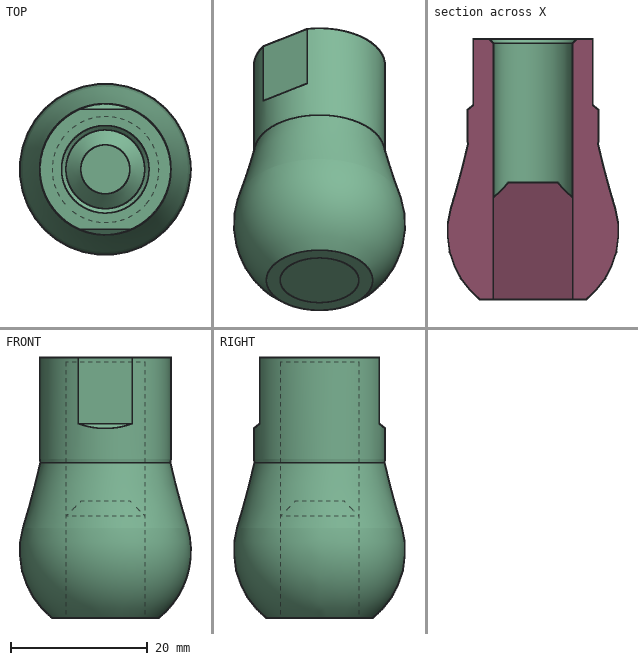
import cadquery as cq
import math

total_height = 38.1
neck_radius = 9.6
collar_radius = 9.52
skirt_middle_radius = 10.7
bulb_radius = 12.55
base_radius = 7.77

bulb_top = 13.2
skirt_top = 22.75
neck_bottom = 23.25

flat_half_width = 8.75
flat_bottom = 28.42
flat_slope = math.radians(40)

bore_radius = 5.75
bore_mouth_radius = 6.4

pin_tip_radius = 3.6
pin_height = 17.15

bulb_center = math.sqrt(bulb_radius**2 - base_radius**2)


def point_on_bulb(height):
    """Radius and height of a point on the spherical bulb."""
    return math.sqrt(bulb_radius**2 - (height - bulb_center)**2), height


def make_pin():
    """Pin that fills the lower bore, with a flat-ended conical tip."""
    tip_chamfer = bore_radius - pin_tip_radius
    return cq.Workplane("XY").circle(bore_radius).extrude(pin_height).faces(">Z").chamfer(tip_chamfer)


def make_outer_form():
    """Neck, slightly tapered collar, concave skirt and spherical bulb, turned about Z."""
    bulb_edge = point_on_bulb(bulb_top)
    skirt_middle = (skirt_middle_radius, (bulb_top + skirt_top) / 2)
    return (
        cq.Workplane("XZ")
        .lineTo(base_radius, 0)
        .threePointArc((bulb_radius, bulb_center), bulb_edge)
        .threePointArc(skirt_middle, (collar_radius, skirt_top))
        .lineTo(neck_radius, neck_bottom)
        .lineTo(neck_radius, total_height)
        .lineTo(0, total_height)
        .close()
        .revolve(360, (0, 0, 0), (0, 1, 0))
    )


def make_flat_cutter(side):
    """Cutter for the wrench flat on one Y side, with a sloped lower end."""
    depth = bulb_radius - flat_half_width
    outer_bottom = flat_bottom - depth * math.tan(flat_slope)
    return (
        cq.Workplane("YZ")
        .moveTo(side * flat_half_width, total_height)
        .lineTo(side * flat_half_width, flat_bottom)
        .lineTo(side * bulb_radius, outer_bottom)
        .lineTo(side * bulb_radius, total_height)
        .close()
        .extrude(bulb_radius, both=True)
    )


def make_bore():
    """Bore through the full height, with a 45 degree chamfer at its mouth."""
    chamfer = bore_mouth_radius - bore_radius
    return (
        cq.Workplane("XZ")
        .lineTo(bore_radius, 0)
        .lineTo(bore_radius, total_height - chamfer)
        .lineTo(bore_mouth_radius, total_height)
        .lineTo(0, total_height)
        .close()
        .revolve(360, (0, 0, 0), (0, 1, 0))
    )


def make_housing():
    """Housing with wrench flats on both Y sides and a through bore."""
    housing = make_outer_form()
    for side in (-1, 1):
        housing = housing.cut(make_flat_cutter(side))
    return housing.cut(make_bore())


housing = make_housing()
pin = make_pin()

result = cq.Compound.makeCompound([housing.val(), pin.val()])